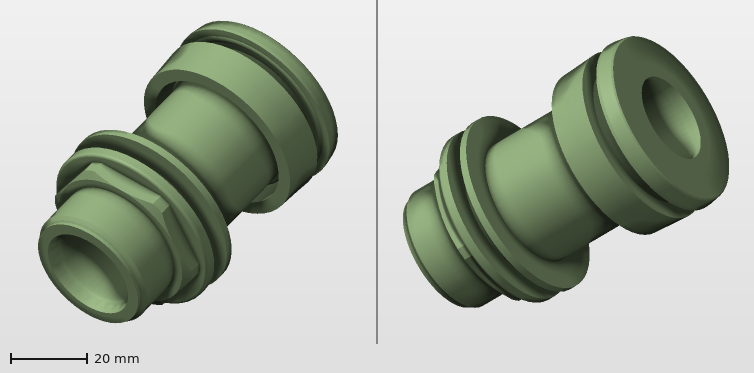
import cadquery as cq
import math

length = 78.1

shank_radius = 17.5
bore_radius = 12.1
bore_mouth_radius = 13.05
bore_mouth_depth = 3.9
end_lip_radius = 16.3
end_lip_length = 1.1
end_chamfer = shank_radius - end_lip_radius
collar_radius = 18.8
collar_bottom = 62.3
collar_chamfer = 0.55
flange_radius = 24.8
flange_bottom = 73.2
flange_top = 73.7

cover_top_radius = 24.2
cover_rim_top = 74.1
cover_edge = 0.4

seal_inner_radius = 20.7
seal_outer_radius = 22.6
seal_height = 0.3

gasket_bottom = 57.1
gasket_top = 68.2
gasket_bottom_radius = 23.8
gasket_top_radius = 24.5
gasket_inner_radius = 20.1

washer_diameter = 50.7
washer_bottom = 27.0
washer_thickness = 2.1

nut_bottom = 14.45
hex_top = 19.05
nut_top = 22.1
across_flats = 40.15
hex_corner_radius = 22.25
hex_chamfer_height = 1.2
nut_flange_radius = 24.8
nut_flange_round = 0.85


def revolve_about_y(profile):
    """Revolve a closed (radius, Y) profile drawn in the XY plane around the Y axis."""
    return profile.revolve(360, (0, 0, 0), (0, 1, 0))


def revolve_points(points):
    return revolve_about_y(cq.Workplane("XY").polyline(points).close())


def make_ring(outer_radius, inner_radius, bottom, top):
    return revolve_points([
        (inner_radius, bottom),
        (outer_radius, bottom),
        (outer_radius, top),
        (inner_radius, top),
    ])


def make_seal():
    return revolve_about_y(
        cq.Workplane("XY")
        .moveTo(seal_inner_radius, flange_bottom)
        .threePointArc(
            ((seal_inner_radius + seal_outer_radius) / 2, flange_bottom - seal_height),
            (seal_outer_radius, flange_bottom),
        )
        .close()
    )


def make_tube():
    return revolve_points([
        (bore_mouth_radius, 0),
        (end_lip_radius, 0),
        (end_lip_radius, end_lip_length),
        (shank_radius, end_lip_length + end_chamfer),
        (shank_radius, collar_bottom),
        (collar_radius - collar_chamfer, collar_bottom),
        (collar_radius, collar_bottom + collar_chamfer),
        (collar_radius, flange_bottom),
        (flange_radius, flange_bottom),
        (flange_radius, flange_top),
        (bore_radius, flange_top),
        (bore_radius, bore_mouth_depth),
    ])


def make_cover():
    return revolve_points([
        (bore_radius, flange_top),
        (flange_radius, flange_top),
        (flange_radius, cover_rim_top),
        (cover_top_radius, length - cover_edge),
        (cover_top_radius - cover_edge, length),
        (bore_radius, length),
    ])


def make_gasket():
    return revolve_points([
        (gasket_inner_radius, gasket_bottom),
        (gasket_bottom_radius, gasket_bottom),
        (gasket_top_radius, gasket_top),
        (gasket_inner_radius, gasket_top),
    ])


def make_nut():
    hex_prism = (
        cq.Workplane("XZ", origin=(0, nut_top, 0))
        .polygon(6, across_flats / math.cos(math.pi / 6))
        .extrude(nut_top - nut_bottom)
    )
    envelope = revolve_points([
        (0, nut_bottom),
        (across_flats / 2, nut_bottom),
        (hex_corner_radius, nut_bottom + hex_chamfer_height),
        (hex_corner_radius, nut_top),
        (0, nut_top),
    ])
    flange = make_ring(nut_flange_radius, shank_radius, hex_top, nut_top)
    rounded_rim = flange.faces("<Y").edges("%CIRCLE").edges(
        cq.selectors.RadiusNthSelector(-1)).fillet(nut_flange_round)
    hole = make_ring(shank_radius, 0, nut_bottom, nut_top)
    return hex_prism.intersect(envelope).union(rounded_rim).cut(hole)


seal = make_seal()
tube = make_tube()
cover = make_cover()
gasket = make_gasket()
washer = make_ring(washer_diameter / 2, shank_radius, washer_bottom, washer_bottom + washer_thickness)
nut = make_nut()

result = cq.Compound.makeCompound([
    tube.val(),
    cover.val(),
    seal.val(),
    gasket.val(),
    washer.val(),
    nut.val(),
])